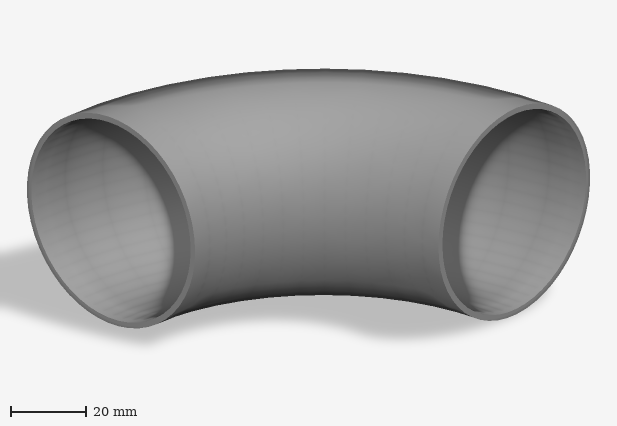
import cadquery as cq

overall_length = 106.2
outer_diameter = 60.3
wall_thickness = 1.6
bend_angle = 90.0

outer_radius = outer_diameter / 2
inner_radius = outer_radius - wall_thickness
bend_radius = overall_length - outer_radius

result = (
    cq.Workplane("XZ")
    .center(-bend_radius, 0)
    .circle(outer_radius)
    .circle(inner_radius)
    .revolve(bend_angle, (bend_radius, 0), (bend_radius, -1))
)